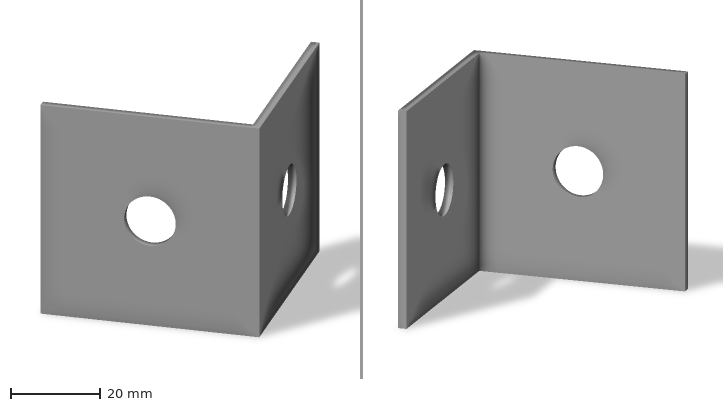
import cadquery as cq

side = 50.8
thickness = 2.0
hole_diameter = 12.0

middle = side / 2
hole_radius = hole_diameter / 2


def angle_bracket():
    """Two square plates meeting at a sharp corner along the +X, -Y edge."""
    front_plate = cq.Workplane("XY").box(side, thickness, side, centered=False)
    side_plate = (
        cq.Workplane("XY")
        .box(thickness, side, side, centered=False)
        .translate((side - thickness, 0, 0))
    )
    return front_plate.union(side_plate)


def plate_hole(start, direction):
    """Cylinder that cuts a hole through one plate."""
    return cq.Solid.makeCylinder(
        hole_radius, thickness, cq.Vector(*start), cq.Vector(*direction)
    )


front_hole = plate_hole((middle, 0, middle), (0, 1, 0))
side_hole = plate_hole((side - thickness, middle, middle), (1, 0, 0))

result = angle_bracket().cut(front_hole).cut(side_hole)